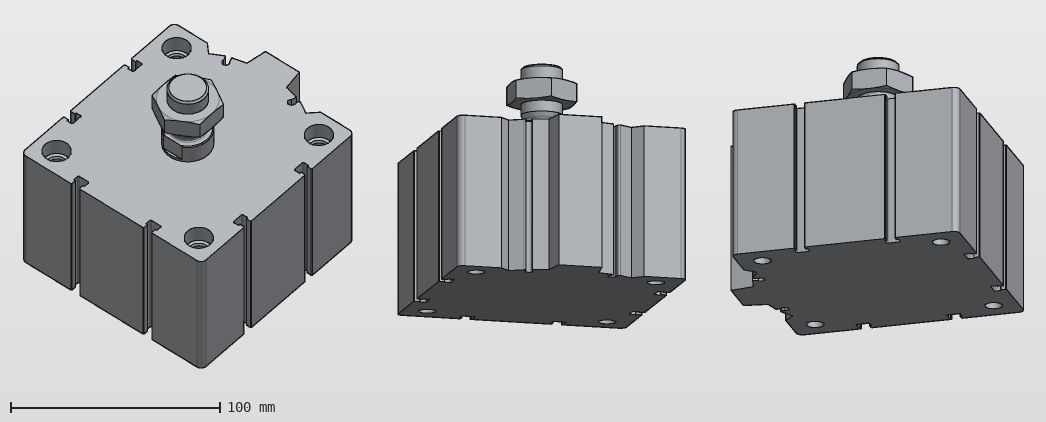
import cadquery as cq
import math

body_side = 113.0
total_depth = 126.7
body_half = body_side / 2
body_height = 73.7
corner_radius = 3.0

slot_offset = 22.5
slot_mouth_width = 4.8
slot_inner_width = 6.7
slot_depth = 6.2
slot_lip = 2.9
slot_mouth_chamfer = 0.4
slot_corner_radius = 0.5

rail_top_y = total_depth - body_half
rail_top_half = 10.6
rail_base_half = 12.4
rail_base_y = 58.5
shoulder_end = (20.1, 56.6)
ramp_start = (22.5, 56.1)
valley = (30.4, 51.6)
valley_edge_x = valley[0] + body_half - valley[1]

groove_x = 20.5
groove_y = 52.5
groove_diameter = 3.8
groove_mouth_width = 3.0
groove_length = 5.1
groove_tilt = 17.0
groove_lip_radius = 0.6

hole_pitch = 89.0
hole_diameter = 8.4
hole_mouth_diameter = 10.0
counterbore_diameter = 14.0
counterbore_depth = 9.0

total_height = 112.0
collar_diameter = 25.0
collar_top_z = 84.1
collar_chamfer = 0.5
flat_distance = 22.0
flat_bottom_z = 75.1
neck_diameter = 17.9
neck_cone_length = 2.5
neck_cone_fillet = 1.3
neck_root_fillet = 0.6
thread_diameter = 20.0
thread_bottom_z = 88.8
thread_chamfer = 1.0

nut_across_flats = 30.0
hexagon_half_angle = 30.0
nut_height = 10.0
nut_top_z = 104.1
nut_chamfer_angle = 15.0


def tee_slot():
    """Cutter for a T-slot entering the -Y side at X = 0."""
    mouth_half = slot_mouth_width / 2
    mouth = (
        cq.Workplane("XY")
        .polyline([
            (-mouth_half - slot_mouth_chamfer, 0),
            (mouth_half + slot_mouth_chamfer, 0),
            (mouth_half, slot_mouth_chamfer),
            (mouth_half, slot_lip),
            (-mouth_half, slot_lip),
            (-mouth_half, slot_mouth_chamfer),
        ])
        .close()
        .extrude(body_height)
    )
    inner = (
        cq.Workplane("XY")
        .center(0, (slot_lip + slot_depth) / 2)
        .rect(slot_inner_width, slot_depth - slot_lip)
        .extrude(body_height)
        .edges("|Z and >Y")
        .fillet(slot_corner_radius)
    )
    return mouth.union(inner).translate((0, -body_half, 0))


def sensor_groove(side):
    """Cutter for the tilted groove beside the rail; side is -1 or +1 in X."""
    bottom = cq.Workplane("XY").circle(groove_diameter / 2).extrude(body_height)
    mouth = (
        cq.Workplane("XY")
        .center(0, groove_length / 2)
        .rect(groove_mouth_width, groove_length)
        .extrude(body_height)
    )
    cutter = bottom.union(mouth).rotate((0, 0, 0), (0, 0, 1), -side * groove_tilt)
    return cutter.translate((side * groove_x, groove_y, 0))


def mounting_hole():
    """Cutter for a stepped through hole centred on the Z axis."""
    floor_z = body_height - counterbore_depth
    mouth_depth = (hole_mouth_diameter - hole_diameter) / 2
    return (
        cq.Workplane("XZ")
        .polyline([
            (0, 0),
            (hole_diameter / 2, 0),
            (hole_diameter / 2, floor_z - mouth_depth),
            (hole_mouth_diameter / 2, floor_z),
            (counterbore_diameter / 2, floor_z),
            (counterbore_diameter / 2, body_height),
            (0, body_height),
        ])
        .close()
        .revolve(360, (0, 0), (0, 1))
    )


def round_upright_edge(body, place, radius):
    """Fillet the vertical edge of the housing that passes nearest to the (x, y) place."""
    nearest = cq.selectors.NearestToPointSelector((*place, body_height / 2))
    return body.edges("|Z").edges(nearest).fillet(radius)


def make_housing():
    half_outline = [
        (rail_top_half, rail_top_y),
        (rail_base_half, rail_base_y),
        shoulder_end,
        ramp_start,
        valley,
        (valley_edge_x, body_half),
        (body_half, body_half),
        (body_half, -body_half),
    ]
    mirrored = [(-x, y) for x, y in reversed(half_outline)]
    housing = cq.Workplane("XY").polyline(half_outline + mirrored).close().extrude(body_height)

    for x in (-body_half, body_half):
        for y in (-body_half, body_half):
            housing = round_upright_edge(housing, (x, y), corner_radius)

    for angle in (-90, 0, 90):
        for x in (-slot_offset, slot_offset):
            slot = tee_slot().translate((x, 0, 0)).rotate((0, 0, 0), (0, 0, 1), angle)
            housing = housing.cut(slot)

    for side in (-1, 1):
        housing = housing.cut(sensor_groove(side))
        lip = (side * ramp_start[0], ramp_start[1])
        housing = round_upright_edge(housing, lip, groove_lip_radius)

    for x in (-hole_pitch / 2, hole_pitch / 2):
        for y in (-hole_pitch / 2, hole_pitch / 2):
            housing = housing.cut(mounting_hole().translate((x, y, 0)))
    return housing


def make_rod():
    collar_radius = collar_diameter / 2
    neck_radius = neck_diameter / 2
    thread_radius = thread_diameter / 2
    neck_top_z = thread_bottom_z - neck_cone_length
    root_end = (neck_radius, collar_top_z + neck_root_fillet)
    rod = (
        cq.Workplane("XZ")
        .moveTo(0, body_height)
        .lineTo(collar_radius, body_height)
        .lineTo(collar_radius, collar_top_z - collar_chamfer)
        .lineTo(collar_radius - collar_chamfer, collar_top_z)
        .lineTo(neck_radius + neck_root_fillet, collar_top_z)
        .radiusArc(root_end, neck_root_fillet)
        .lineTo(neck_radius, neck_top_z)
        .lineTo(thread_radius, thread_bottom_z)
        .lineTo(thread_radius, total_height - thread_chamfer)
        .lineTo(thread_radius - thread_chamfer, total_height)
        .lineTo(0, total_height)
        .close()
        .revolve(360, (0, 0), (0, 1))
    )
    neck_top = cq.selectors.NearestToPointSelector((0, 0, neck_top_z))
    rod = rod.edges("%CIRCLE").edges(neck_top).fillet(neck_cone_fillet)

    flat_height = collar_top_z - flat_bottom_z
    for side in (-1, 1):
        flat_cut = (
            cq.Workplane("XY", origin=(0, side * (flat_distance + collar_diameter) / 2, flat_bottom_z))
            .rect(collar_diameter, collar_diameter)
            .extrude(flat_height)
        )
        rod = rod.cut(flat_cut)
    return rod


def make_nut():
    corner_diameter = nut_across_flats / math.cos(math.radians(hexagon_half_angle))
    corner_reach = (corner_diameter - nut_across_flats) / 2
    chamfer_drop = corner_reach * math.tan(math.radians(nut_chamfer_angle))
    nut_bottom_z = nut_top_z - nut_height
    hexagon = (
        cq.Workplane("XY", origin=(0, 0, nut_bottom_z))
        .transformed(rotate=(0, 0, hexagon_half_angle))
        .polygon(6, corner_diameter)
        .extrude(nut_height)
    )
    envelope = (
        cq.Workplane("XY", origin=(0, 0, nut_bottom_z))
        .circle(corner_diameter / 2)
        .extrude(nut_height)
        .faces("<Z or >Z")
        .chamfer(chamfer_drop, corner_reach)
    )
    bore = cq.Workplane("XY", origin=(0, 0, nut_bottom_z)).circle(thread_diameter / 2).extrude(nut_height)
    return hexagon.intersect(envelope).cut(bore)


housing = make_housing()
rod = make_rod()
nut = make_nut()

result = cq.Compound.makeCompound([housing.val(), rod.val(), nut.val()])